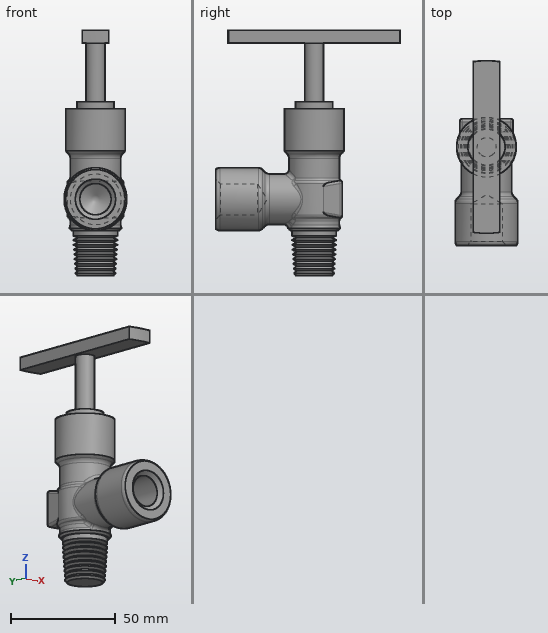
import cadquery as cq
import math


overall_height = 117.09
handle_top_z = 80.5
handle_thickness = 6.2
handle_bottom_z = handle_top_z - handle_thickness
collar_top_z = 46.5
cap_top_z = 43.1
cap_bottom_z = 22.95
flange_flare_z = -12.3
flange_edge_z = -13.75
flange_bottom_z = -15.0
relief_bottom_z = -17.4
bottom_z = handle_top_z - overall_height

stem_radius = 4.55
collar_radius = 8.9
cap_radius = 14.25
neck_radius = 12.1
barrel_radius = 13.5
barrel_shoulder_z = 8.9
barrel_blend_height = 1.4
flange_radius = 12.5
relief_radius = 10.65

crest_count = 8
thread_pitch = 2.26
first_crest_z = -19.5
first_crest_radius = relief_radius
last_crest_radius = 9.6
root_radius = 8.5

port_radius = 15.0
port_end_y = -47.01
port_shoulder_y = -26.75
port_root_fillet = 2.0
bore_radius = 7.45
bore_chamfer = 2.15
bore_depth = 20.0
drill_point_angle = 118.0

shoulder_blend = 3.0
arc_turn = math.radians(45.0)
blend_length = shoulder_blend * math.sin(arc_turn)
blend_rise = shoulder_blend * (1.0 - math.cos(arc_turn))

boss_width = 25.5
boss_back_y = barrel_radius
boss_back_half_height = 9.1
boss_draft = 10.0
boss_fillet = 1.3

handle_width = 12.75
handle_end_radius = 41.2


def flare_midpoint():
    """Middle, in (radius, z), of the arc that leaves the lower neck and ends on the flange edge."""
    flare_length = flange_flare_z - flange_edge_z
    flare_turn = 2.0 * math.atan((flange_radius - neck_radius) / flare_length)
    flare_blend = flare_length / math.sin(flare_turn)
    mid_radius = neck_radius + flare_blend * (1.0 - math.cos(flare_turn / 2))
    mid_z = flange_flare_z - flare_blend * math.sin(flare_turn / 2)
    return mid_radius, mid_z


def body_profile():
    """Half outline of the body from the thread tip up to the collar, in (radius, z)."""
    cap_neck_radius = neck_radius + blend_rise
    cap_cone_top = cap_bottom_z
    cap_cone_bottom = cap_cone_top - (cap_radius - cap_neck_radius)
    neck_top = cap_cone_bottom - blend_length
    barrel_mid_radius = (barrel_radius + neck_radius) / 2
    barrel_side = barrel_shoulder_z - barrel_blend_height
    neck_start = barrel_shoulder_z + barrel_blend_height

    outline = cq.Workplane("XZ").moveTo(0, bottom_z).lineTo(root_radius, bottom_z)
    for index in reversed(range(crest_count)):
        taper = (first_crest_radius - last_crest_radius) * index / (crest_count - 1)
        crest_z = first_crest_z - index * thread_pitch
        outline = outline.lineTo(first_crest_radius - taper, crest_z)
        outline = outline.lineTo(root_radius, crest_z + thread_pitch / 2)
    flange_chamfer = flange_edge_z - flange_bottom_z
    return (
        outline.lineTo(relief_radius, relief_bottom_z)
        .lineTo(relief_radius, flange_bottom_z)
        .lineTo(flange_radius - flange_chamfer, flange_bottom_z)
        .lineTo(flange_radius, flange_edge_z)
        .threePointArc(flare_midpoint(), (neck_radius, flange_flare_z))
        .lineTo(neck_radius, -neck_start)
        .tangentArcPoint((barrel_mid_radius, -barrel_shoulder_z), relative=False)
        .tangentArcPoint((barrel_radius, -barrel_side), relative=False)
        .lineTo(barrel_radius, barrel_side)
        .tangentArcPoint((barrel_mid_radius, barrel_shoulder_z), relative=False)
        .tangentArcPoint((neck_radius, neck_start), relative=False)
        .lineTo(neck_radius, neck_top)
        .tangentArcPoint((cap_neck_radius, cap_cone_bottom), relative=False)
        .lineTo(cap_radius, cap_cone_top)
        .lineTo(cap_radius, cap_top_z)
        .lineTo(collar_radius, cap_top_z)
        .lineTo(collar_radius, collar_top_z)
        .lineTo(0, collar_top_z)
        .close()
    )


def make_body():
    return body_profile().revolve(360, (0, 0, 0), (0, 1, 0))


def make_port():
    """Side port: neck, flared shoulder and rounded end, turned about the Y axis."""
    cone_rise = port_radius - neck_radius - 2 * blend_rise
    cone_start = port_shoulder_y + blend_length
    cone_end = cone_start + cone_rise
    flare_start = cone_end + blend_length
    outline = (
        cq.Workplane("XY")
        .lineTo(neck_radius, 0)
        .lineTo(neck_radius, flare_start)
        .tangentArcPoint((neck_radius + blend_rise, cone_end), relative=False)
        .lineTo(port_radius - blend_rise, cone_start)
        .tangentArcPoint((port_radius, port_shoulder_y), relative=False)
        .lineTo(port_radius, port_end_y + blend_length)
        .tangentArcPoint((port_radius - blend_rise, port_end_y), relative=False)
        .lineTo(0, port_end_y)
        .close()
    )
    return outline.revolve(360, (0, 0, 0), (0, 1, 0))


def make_bore():
    """Chamfered blind bore with a drill point, cut into the end of the side port."""
    bore_end_y = port_end_y + bore_depth
    point_length = bore_radius / math.tan(math.radians(drill_point_angle / 2))
    outline = (
        cq.Workplane("XY")
        .moveTo(0, port_end_y)
        .lineTo(bore_radius + bore_chamfer, port_end_y)
        .lineTo(bore_radius, port_end_y + bore_chamfer)
        .lineTo(bore_radius, bore_end_y)
        .lineTo(0, bore_end_y + point_length)
        .close()
    )
    return outline.revolve(360, (0, 0, 0), (0, 1, 0))


def make_boss():
    """Rounded block behind the barrel, growing taller towards its back face."""
    axis_half_height = boss_back_half_height - boss_back_y * math.tan(math.radians(boss_draft))
    block = (
        cq.Workplane("YZ")
        .moveTo(0, -axis_half_height)
        .lineTo(boss_back_y, -boss_back_half_height)
        .lineTo(boss_back_y, boss_back_half_height)
        .lineTo(0, axis_half_height)
        .close()
        .extrude(boss_width / 2, both=True)
    )
    return block.edges("|Z and >Y or (not |Z) and (not <Y)").fillet(boss_fillet)


def make_stem_and_handle():
    stem = cq.Workplane("XY").workplane(offset=collar_top_z).circle(stem_radius)
    stem = stem.extrude(handle_bottom_z - collar_top_z)
    handle = cq.Workplane("XY").workplane(offset=handle_bottom_z)
    disc = handle.circle(handle_end_radius).extrude(handle_thickness)
    bar = handle.rect(handle_width, 2 * handle_end_radius).extrude(handle_thickness)
    return stem.union(bar.intersect(disc))


def make_valve_body():
    """Body with the port grown out of it, their meeting edge rounded, then the boss and the bore."""
    joined = make_body().union(make_port())
    rounded = joined.edges("%BSPLINE or %ELLIPSE").fillet(port_root_fillet)
    return rounded.union(make_boss()).cut(make_bore())


result = make_valve_body().union(make_stem_and_handle())